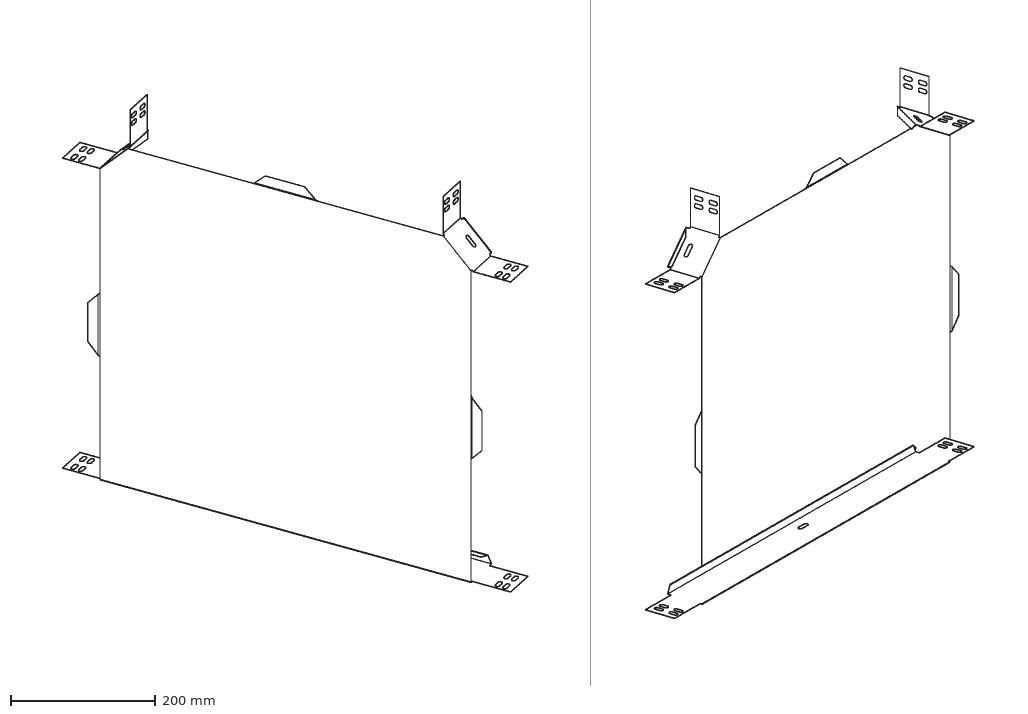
import cadquery as cq
import math

length_x = 710.5
height_z = 604.0
depth_y = 61.0
sheet = 0.8

strip_length = 61.0
corner = 45.5
panel_front = 1.8
half_panel = length_x / 2 - strip_length
panel_top = height_z - strip_length
half_top = half_panel - corner
side_top = panel_top - corner

wall_angle = 45
fold_run = 2.0
wall_bottom = side_top + fold_run
wall_inset = half_top + fold_run
strip_root = half_panel + fold_run
strip_foot = panel_top + fold_run
wall_skew = sheet / math.cos(math.radians(wall_angle))
mitre = sheet * math.tan(math.radians(wall_angle / 2))

strip_front = 5.0
strip_width = 50.0
strip_slot_length = 14.0
strip_slot_width = 6.5
strip_slot_spacing = 25.0
strip_slot_insets = (13.0, 25.0)
strip_slot_middle = 28.5

wall_slot_length = 20.0
wall_slot_width = 6.5
wall_slot_y = 41.0

bottom_lip_height = 13.0
bottom_lip_bevel = 6.0
return_lip = 9.0
corner_lip_width = 10.0
corner_lip_overrun = 4.0

tab_base = 102.0
tab_tip = 62.5
tab_reach = 18.5
joggle_run = 2.0


def plate(points, y_front, thickness):
    """Polygon in the XZ plane, extruded towards the rear from y_front."""
    profile = cq.Workplane("XZ", origin=(0, y_front, 0)).polyline(points).close()
    return profile.extrude(-thickness)


def mirrored(body):
    """The left-hand body together with its right-hand twin."""
    return body.union(body.mirror("YZ"))


def make_panel():
    """Flat front panel."""
    return plate(
        [
            (-half_panel, 0),
            (half_panel, 0),
            (half_panel, wall_bottom),
            (wall_inset, panel_top),
            (-wall_inset, panel_top),
            (-half_panel, wall_bottom),
        ],
        panel_front,
        sheet,
    )


def slot_cutter(length, width, angle=0):
    """Slot in the XY plane, turned by angle from X, cutting along Z through one sheet."""
    return cq.Workplane("XY").slot2D(length, width, angle).extrude(2 * sheet, both=True)


def strip_slots():
    """Four slots for a strip whose free end is at the origin and which runs along +X."""
    slot = slot_cutter(strip_slot_length, strip_slot_width, angle=90)
    slots = cq.Workplane("XY")
    for inset in strip_slot_insets:
        for side in (-1, 1):
            slots = slots.union(slot.translate((inset, side * strip_slot_spacing / 2, 0)))
    return slots


def make_bottom():
    """Bottom wall with a strip at either end, a rear lip and a return bent forward from the lip."""
    wall = plate(
        [(-half_panel, 0), (half_panel, 0), (half_panel, sheet), (-half_panel, sheet)],
        panel_front,
        depth_y - panel_front,
    )
    strips = plate(
        [(-length_x / 2, 0), (length_x / 2, 0), (length_x / 2, sheet), (-length_x / 2, sheet)],
        strip_front,
        strip_width,
    )
    half_return = half_panel - bottom_lip_bevel
    lip = plate(
        [
            (-half_panel, 0),
            (half_panel, 0),
            (half_return, bottom_lip_height),
            (-half_return, bottom_lip_height),
        ],
        depth_y - sheet,
        sheet,
    )
    half_return_front = half_return - bottom_lip_bevel
    return_flange = (
        cq.Workplane("XY", origin=(0, 0, bottom_lip_height - sheet))
        .polyline(
            [
                (-half_return, depth_y),
                (half_return, depth_y),
                (half_return_front, depth_y - return_lip),
                (-half_return_front, depth_y - return_lip),
            ]
        )
        .close()
        .extrude(sheet)
    )
    slots = mirrored(strip_slots().translate((-length_x / 2, strip_slot_middle, 0)))
    wall_slot = slot_cutter(wall_slot_length, wall_slot_width).translate((0, wall_slot_y, 0))
    return wall.union(strips).union(lip).union(return_flange).cut(slots).cut(wall_slot)


def make_corner():
    """Upper left corner: a slanted wall with a strip folded out at either end and a rear lip."""
    folds_outer = [(-strip_root, side_top), (-half_top, strip_foot)]
    folds_inner = [
        (-half_top + sheet, strip_foot - mitre),
        (-strip_root + mitre, side_top - sheet),
    ]
    wall_outer = [(-half_panel, wall_bottom), (-wall_inset, panel_top)]
    wall_inner = [
        (-wall_inset + wall_skew, panel_top),
        (-half_panel, wall_bottom - wall_skew),
    ]
    wall = plate(wall_outer + wall_inner, panel_front, depth_y - panel_front)
    strips = plate(
        [(-length_x / 2, side_top)]
        + folds_outer
        + [(-half_top, height_z), (-half_top + sheet, height_z)]
        + folds_inner
        + [(-length_x / 2, side_top - sheet)],
        strip_front,
        strip_width,
    )
    lip_drop = corner_lip_width / math.cos(math.radians(wall_angle))
    lip_inner = [
        (-wall_inset, panel_top - lip_drop),
        (-half_panel + lip_drop - corner_lip_overrun, wall_bottom - corner_lip_overrun),
    ]
    lip = plate(wall_outer + lip_inner, depth_y - sheet, sheet)
    side_slots = strip_slots().translate((-length_x / 2, strip_slot_middle, side_top))
    top_slots = (
        strip_slots().rotate((0, 0, 0), (0, 1, 0), 90).translate((-half_top, strip_slot_middle, height_z))
    )
    wall_slot = (
        slot_cutter(wall_slot_length, wall_slot_width)
        .rotate((0, 0, 0), (0, 1, 0), -wall_angle)
        .translate((-(strip_root + half_top) / 2, wall_slot_y, (side_top + strip_foot) / 2))
    )
    body = wall.union(strips).union(lip)
    return body.cut(side_slots).cut(top_slots).cut(wall_slot)


def make_tab():
    """Tab reaching up from the origin, stepped forward of the panel and narrowing to its tip."""
    half_base = tab_base / 2
    half_tip = tab_tip / 2
    outline = plate(
        [
            (-half_base, -sheet),
            (half_base, -sheet),
            (half_base, 0),
            (half_tip, tab_reach),
            (-half_tip, tab_reach),
            (-half_base, 0),
        ],
        0,
        depth_y,
    )
    section = (
        cq.Workplane("YZ")
        .polyline(
            [
                (panel_front, -sheet),
                (panel_front, 0),
                (0, joggle_run),
                (0, tab_reach),
                (sheet, tab_reach),
                (sheet, joggle_run + mitre),
                (panel_front + sheet, mitre),
                (panel_front + sheet, -sheet),
            ]
        )
        .close()
        .extrude(half_base, both=True)
    )
    return section.intersect(outline)


top_tab = make_tab().translate((0, 0, panel_top))
left_tab = make_tab().rotate((0, 0, 0), (0, 1, 0), -90).translate((-half_panel, 0, side_top / 2))

result = (
    make_panel()
    .union(make_bottom())
    .union(mirrored(make_corner()))
    .union(top_tab)
    .union(mirrored(left_tab))
)